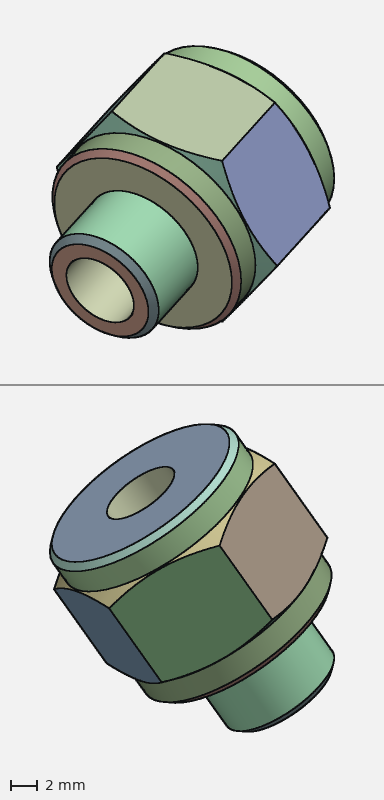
import cadquery as cq
import math

total_length = 20.0
across_flats = 17.0
hex_length = 9.0
hex_chamfer_angle = 30.0
collar_diameter = 16.8
collar_length = 2.5
collar_chamfer = 0.5
spigot_diameter = 9.72
spigot_chamfer = 0.55
bore_diameter = 6.0

across_corners = across_flats / math.cos(math.radians(30))
corner_radius = across_corners / 2
collar_radius = collar_diameter / 2
body_length = hex_length + 2 * collar_length
spigot_length = total_length - body_length
hex_chamfer_length = (corner_radius - collar_radius) * math.tan(math.radians(hex_chamfer_angle))


def rod(diameter, start, length):
    """Round bar along +Y from the given Y position."""
    plane = cq.Workplane("XZ", origin=(0, start, 0))
    return plane.circle(diameter / 2).extrude(-length)


def chamfered_hexagon():
    """Hexagon with corners on the X axis, its corners turned down by a cone at each end."""
    start = spigot_length + collar_length
    end = start + hex_length
    prism = cq.Workplane("XZ", origin=(0, start, 0)).polygon(6, across_corners).extrude(-hex_length)
    envelope = (
        cq.Workplane("XY")
        .moveTo(0, start)
        .lineTo(collar_radius, start)
        .lineTo(corner_radius, start + hex_chamfer_length)
        .lineTo(corner_radius, end - hex_chamfer_length)
        .lineTo(collar_radius, end)
        .lineTo(0, end)
        .close()
        .revolve(360, (0, 0, 0), (0, 1, 0))
    )
    return prism.intersect(envelope)


body = rod(collar_diameter, spigot_length, body_length).faces("<Y or >Y").chamfer(collar_chamfer)

spigot = rod(spigot_diameter, 0, spigot_length).faces("<Y").chamfer(spigot_chamfer)

bore = rod(bore_diameter, 0, total_length)

result = body.union(chamfered_hexagon()).union(spigot).cut(bore)